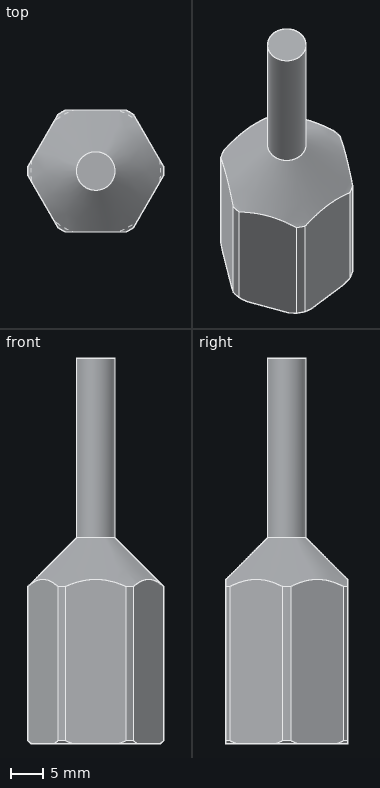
import cadquery as cq
import math

across_flats = 19.0
corner_diameter = 21.2
total_height = 60.0
pin_diameter = 6.0
pin_base_height = 32.1
cone_angle = 45.0
bottom_chamfer = 0.5

pin_radius = pin_diameter / 2
corner_radius = corner_diameter / 2
across_corners = across_flats / math.cos(math.radians(30))
cone_height = (corner_radius - pin_radius) / math.tan(math.radians(cone_angle))
cone_base_height = pin_base_height - cone_height


def turned_body():
    """Revolved body: chamfered cylinder, cone and pin."""
    profile = (
        cq.Workplane("XZ")
        .moveTo(0, 0)
        .lineTo(corner_radius - bottom_chamfer, 0)
        .lineTo(corner_radius, bottom_chamfer)
        .lineTo(corner_radius, cone_base_height)
        .lineTo(pin_radius, pin_base_height)
        .lineTo(pin_radius, total_height)
        .lineTo(0, total_height)
        .close()
    )
    return profile.revolve(360, (0, 0, 0), (0, 1, 0))


def hexagon_prism():
    """Full-height hexagonal prism with two corners on the X axis."""
    return cq.Workplane("XY").polygon(6, across_corners).extrude(total_height)


result = turned_body().intersect(hexagon_prism())